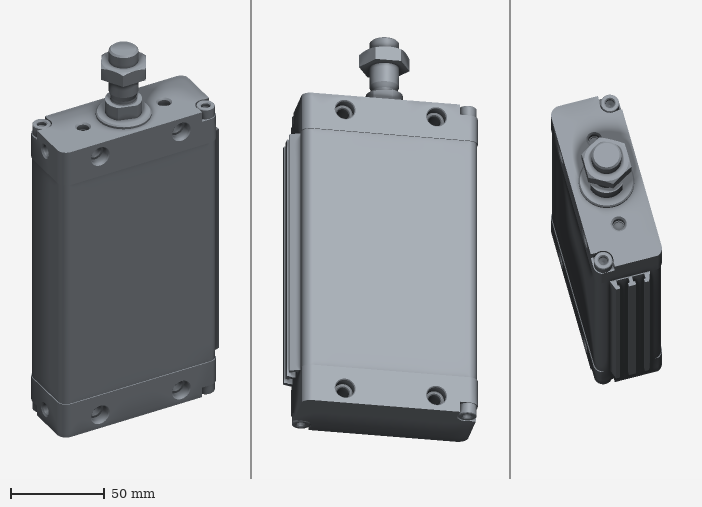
import cadquery as cq
import math

cap_width = 38.0
cap_front_reach = 48.5
cap_back_reach = 48.0
cap_height = 21.0
cap_corner_radius = 5.5
tube_length = 140.0
tube_inset = 0.5
total_height = 224.0

tube_bottom = cap_height
tube_top = tube_bottom + tube_length
cap_top = tube_top + cap_height

rail_reach = 53.5
rail_floor = 48.6
rail_embed = 1.0
rail_base_half = 11.2
rail_crest_half = 9.2
rail_lip_half = 6.9
rail_web_half = 7.8
rail_lip_thickness = 2.0
center_lip_width = 4.0
center_web_width = 2.0

screw_x = 13.5
screw_y = 42.9
screw_pocket_diameter = 11.0
screw_pocket_wall = 5.1
screw_pocket_depth = 6.0
screw_head_diameter = 10.0
screw_head_chamfer = 0.4
screw_hole_diameter = 5.0
screw_hole_mouth = 6.2
screw_hole_depth = 2.5
drill_point_angle = 118.0

hole_spacing = 50.0
hole_end_distance = 8.5
side_hole_diameter = 6.65
side_bore_diameter = 10.4
side_bore_mouth = 11.45
side_bore_depth = 6.0
side_hole_mouth = 7.8
thread_hole_diameter = 6.65
thread_hole_mouth = 8.6
pilot_diameter = 5.5
top_hole_depth = 4.0
top_pilot_depth = 4.8
port_depth = 8.0
port_pilot_depth = 12.0

collar_diameter = 30.0
collar_height = 2.0
collar_chamfer = 0.7
rod_diameter = 20.0
rod_flat_length = 8.0
rod_across_flats = 17.0
rod_flat_angle = -15.0
neck_diameter = 13.9
neck_length = 2.4
neck_root_diameter = 14.38
neck_root_height = 0.6
thread_diameter = 16.0
thread_runout = 3.1
thread_tip_chamfer = 1.0

nut_across_flats = 24.0
nut_thickness = 8.0
nut_bottom = 208.3
nut_chamfer_angle = 30.0
nut_turn = 30.0

collar_top = cap_top + collar_height
shoulder = collar_top + rod_flat_length


def rounded_block(width, front_reach, back_reach, radius, bottom, height):
    """Block with rounded vertical corners, symmetric in Y, then trimmed flat at back_reach."""
    block = cq.Workplane("XY", origin=(0, 0, bottom)).rect(width, 2 * front_reach).extrude(height)
    block = block.edges("|Z").fillet(radius)
    trimmed_depth = front_reach + back_reach
    keep = cq.Workplane("XY", origin=(0, (back_reach - front_reach) / 2, bottom))
    return block.intersect(keep.rect(width, trimmed_depth).extrude(height))


def revolved(profile):
    """Solid of revolution about Z from (radius, z) points."""
    return cq.Workplane("XZ").polyline(profile).close().revolve(360, (0, 0, 0), (0, 1, 0))


def flared_hole(diameter, mouth, depth):
    """Cutter for a flat-bottomed hole along -Z from the origin, with a 45 degree flared mouth."""
    flare = (mouth - diameter) / 2
    return revolved([(0, 0), (mouth / 2, 0), (diameter / 2, -flare), (diameter / 2, -depth), (0, -depth)])


def stepped_hole(depth, pilot_depth):
    """Cutter for a flared threaded hole along -Z that narrows to a flat-bottomed pilot."""
    pilot = cq.Workplane("XY").circle(pilot_diameter / 2).extrude(-pilot_depth)
    return flared_hole(thread_hole_diameter, thread_hole_mouth, depth).union(pilot)


def screw_pocket():
    """Cutter for a +X +Y corner pocket: a round seat opened straight to both outer faces."""
    seat = cq.Workplane("XY").circle(screw_pocket_diameter / 2).extrude(-screw_pocket_depth)
    reach = screw_pocket_diameter
    wall = screw_pocket_wall
    opening = cq.Workplane("XY").polyline([
        (-wall, 0),
        (0, 0),
        (0, -wall),
        (reach, -wall),
        (reach, reach),
        (-wall, reach),
    ])
    opening = opening.close().extrude(-screw_pocket_depth)
    return seat.union(opening).translate((screw_x, screw_y, 0))


def screw_head():
    """Chamfered screw head standing on the pocket floor, top at z = 0."""
    head = cq.Workplane("XY").circle(screw_head_diameter / 2).extrude(-screw_pocket_depth)
    return head.faces(">Z").chamfer(screw_head_chamfer).translate((screw_x, screw_y, 0))


def screw_hole():
    """Cutter for the drilled hole in a screw head, with flared mouth and drill point."""
    radius = screw_hole_diameter / 2
    mouth_radius = screw_hole_mouth / 2
    point = radius / math.tan(math.radians(drill_point_angle / 2))
    cutter = revolved([
        (0, 0),
        (mouth_radius, 0),
        (radius, radius - mouth_radius),
        (radius, -screw_hole_depth),
        (0, -screw_hole_depth - point),
    ])
    return cutter.translate((screw_x, screw_y, 0))


def end_cap():
    """Cap with its outer face at z = 0, reaching down to -cap_height."""
    cap = rounded_block(
        cap_width, cap_front_reach, cap_back_reach, cap_corner_radius, -cap_height, cap_height
    )
    for turn in (0, 180):
        cap = cap.cut(screw_pocket().rotate((0, 0, 0), (0, 0, 1), turn))
        cap = cap.union(screw_head().rotate((0, 0, 0), (0, 0, 1), turn))
        cap = cap.cut(screw_hole().rotate((0, 0, 0), (0, 0, 1), turn))
    for y in (-hole_spacing / 2, hole_spacing / 2):
        cross_hole = cq.Workplane("YZ", origin=(-cap_width / 2, y, -hole_end_distance))
        cap = cap.cut(cross_hole.circle(side_hole_diameter / 2).extrude(cap_width))
        for turn, side in ((-90, -cap_width / 2), (90, cap_width / 2)):
            bore = flared_hole(side_bore_diameter, side_bore_mouth, side_bore_depth)
            floor_flare = flared_hole(side_hole_diameter, side_hole_mouth, side_hole_mouth)
            bore = bore.union(floor_flare.translate((0, 0, -side_bore_depth)))
            bore = bore.rotate((0, 0, 0), (0, 1, 0), turn)
            cap = cap.cut(bore.translate((side, y, -hole_end_distance)))
    port = stepped_hole(port_depth, port_pilot_depth).rotate((0, 0, 0), (1, 0, 0), 90)
    return cap.cut(port.translate((0, -cap_front_reach, -hole_end_distance)))


def build_rod_cap():
    """Top cap with the rod collar, the rod bore and two mounting holes in its top face."""
    collar = cq.Workplane("XY").circle(collar_diameter / 2).extrude(collar_height)
    cap = end_cap().union(collar.faces(">Z").chamfer(collar_chamfer))
    bore_length = cap_height + collar_height
    bore = cq.Workplane("XY", origin=(0, 0, -cap_height)).circle(rod_diameter / 2).extrude(bore_length)
    cap = cap.cut(bore)
    for y in (-hole_spacing / 2, hole_spacing / 2):
        cap = cap.cut(stepped_hole(top_hole_depth, top_pilot_depth).translate((0, y, 0)))
    return cap.translate((0, 0, cap_top))


def build_bottom_cap():
    """Bottom cap: the same cap upside down, its diagonal screws kept in the same two corners."""
    return end_cap().mirror("XY")


def build_tube():
    """Tube body with a raised strip, one T rail and two leaning lipped rails on its +Y face."""
    tube = rounded_block(
        cap_width - 2 * tube_inset,
        cap_front_reach - tube_inset,
        cap_back_reach,
        cap_corner_radius - tube_inset,
        tube_bottom,
        tube_length,
    )
    lip_bottom = rail_reach - rail_lip_thickness
    root = cap_back_reach - rail_embed
    plane = cq.Workplane("XY", origin=(0, 0, tube_bottom))
    strip = plane.center(0, (root + rail_floor) / 2).rect(2 * rail_web_half, rail_floor - root)
    tube = tube.union(strip.extrude(tube_length))
    web = plane.center(0, (root + rail_reach) / 2).rect(center_web_width, rail_reach - root)
    tube = tube.union(web.extrude(tube_length))
    lip = plane.center(0, (lip_bottom + rail_reach) / 2).rect(center_lip_width, rail_lip_thickness)
    tube = tube.union(lip.extrude(tube_length))
    for side in (-1, 1):
        outline = plane.polyline([
            (side * rail_web_half, root),
            (side * rail_base_half, root),
            (side * rail_base_half, cap_back_reach),
            (side * rail_crest_half, rail_reach),
            (side * rail_lip_half, rail_reach),
            (side * rail_lip_half, lip_bottom),
            (side * rail_web_half, lip_bottom),
        ])
        tube = tube.union(outline.close().extrude(tube_length))
    return tube


def build_rod():
    """Piston rod: shank with wrench flats, necked-down relief and threaded end."""
    neck_top = shoulder + neck_length
    thread_bottom = neck_top + thread_runout
    thread_radius = thread_diameter / 2
    rod = revolved([
        (0, tube_top),
        (rod_diameter / 2, tube_top),
        (rod_diameter / 2, shoulder),
        (neck_root_diameter / 2, shoulder),
        (neck_diameter / 2, shoulder + neck_root_height),
        (neck_diameter / 2, neck_top),
        (thread_radius, thread_bottom),
        (thread_radius, total_height - thread_tip_chamfer),
        (thread_radius - thread_tip_chamfer, total_height),
        (0, total_height),
    ])
    flat_offset = (rod_across_flats + rod_diameter) / 2
    for side in (-1, 1):
        flat = cq.Workplane("XY", origin=(0, 0, collar_top)).center(side * flat_offset, 0)
        flat = flat.rect(rod_diameter, 2 * rod_diameter).extrude(rod_flat_length)
        rod = rod.cut(flat.rotate((0, 0, 0), (0, 0, 1), rod_flat_angle))
    return rod


def build_nut():
    """Hexagon nut with corners on Y and a conical chamfer on its top face."""
    corner_radius = nut_across_flats / math.sqrt(3)
    drop = (corner_radius - nut_across_flats / 2) * math.tan(math.radians(nut_chamfer_angle))
    nut_top = nut_bottom + nut_thickness
    hexagon = cq.Workplane("XY", origin=(0, 0, nut_bottom)).polygon(6, 2 * corner_radius)
    nut = hexagon.extrude(nut_thickness).rotate((0, 0, 0), (0, 0, 1), nut_turn)
    envelope = revolved([
        (0, nut_bottom),
        (corner_radius, nut_bottom),
        (corner_radius, nut_top - drop),
        (nut_across_flats / 2, nut_top),
        (0, nut_top),
    ])
    bore = cq.Workplane("XY", origin=(0, 0, nut_bottom)).circle(thread_diameter / 2).extrude(nut_thickness)
    return nut.intersect(envelope).cut(bore)


rod_cap = build_rod_cap()
bottom_cap = build_bottom_cap()
tube = build_tube()
rod = build_rod()
nut = build_nut()

result = cq.Compound.makeCompound([rod_cap.val(), bottom_cap.val(), tube.val(), rod.val(), nut.val()])